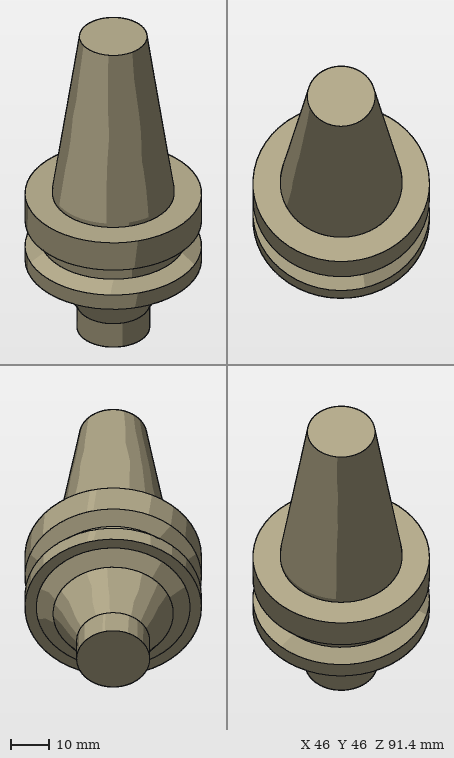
import cadquery as cq
import math

TOTAL_HEIGHT = 91.4
NOSE_TOP = 7.4
FLANGE_BOTTOM = 21.1
GROOVE_LOWER_RIM = 25.6
GROOVE_UPPER_RIM = 33.45
FLANGE_TOP = 42.0
TAPER_BASE = 43.1

FLANGE_RADIUS = 46.0 / 2
GROOVE_RADIUS = 38.0 / 2
TAPER_BASE_RADIUS = 31.7 / 2
NOSE_RADIUS = 19.0 / 2

TAPER_TOP_RADIUS = TAPER_BASE_RADIUS - (TOTAL_HEIGHT - TAPER_BASE) * 7 / 24 / 2

GROOVE_WALL_ANGLE = math.radians(30)
groove_wall_height = (FLANGE_RADIUS - GROOVE_RADIUS) * math.tan(GROOVE_WALL_ANGLE)

NECK_WAIST_RADIUS = 15.6
NECK_TOP_RADIUS = 20.0
NECK_UPPER_ANGLE = math.radians(30)
neck_waist_height = FLANGE_BOTTOM - (NECK_TOP_RADIUS - NECK_WAIST_RADIUS) * math.tan(NECK_UPPER_ANGLE)

profile = (
    cq.Workplane("XZ")
    .lineTo(NOSE_RADIUS, 0)
    .lineTo(NOSE_RADIUS, NOSE_TOP)
    .lineTo(NECK_WAIST_RADIUS, neck_waist_height)
    .lineTo(NECK_TOP_RADIUS, FLANGE_BOTTOM)
    .lineTo(FLANGE_RADIUS, FLANGE_BOTTOM)
    .lineTo(FLANGE_RADIUS, GROOVE_LOWER_RIM)
    .lineTo(GROOVE_RADIUS, GROOVE_LOWER_RIM + groove_wall_height)
    .lineTo(GROOVE_RADIUS, GROOVE_UPPER_RIM - groove_wall_height)
    .lineTo(FLANGE_RADIUS, GROOVE_UPPER_RIM)
    .lineTo(FLANGE_RADIUS, FLANGE_TOP)
    .lineTo(TAPER_BASE_RADIUS, FLANGE_TOP)
    .lineTo(TAPER_BASE_RADIUS, TAPER_BASE)
    .lineTo(TAPER_TOP_RADIUS, TOTAL_HEIGHT)
    .lineTo(0, TOTAL_HEIGHT)
    .close()
)

result = profile.revolve(360, (0, 0, 0), (0, 1, 0))